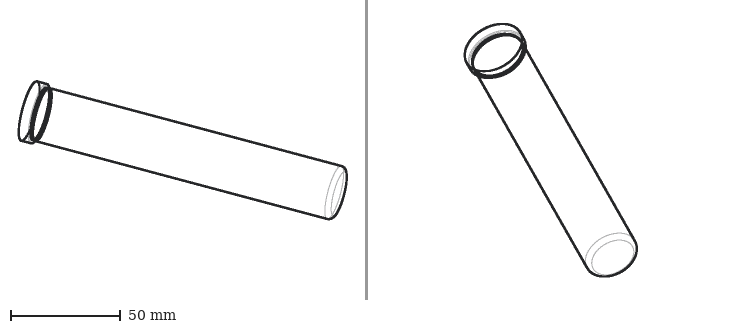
import cadquery as cq

total_length = 150.0
head_diameter = 28.0
head_thickness = 5.1
shank_diameter = 25.0

head_back_fillet = 0.5
tip_fillet = 2.2

groove_width = 1.4
groove_depth = 0.2
groove_runout = 0.5

head_radius = head_diameter / 2
shank_radius = shank_diameter / 2
groove_radius = shank_radius - groove_depth
groove_end = head_thickness + groove_width

profile = (
    cq.Workplane("XY")
    .lineTo(0, head_radius)
    .lineTo(head_thickness - head_back_fillet, head_radius)
    .tangentArcPoint((head_back_fillet, -head_back_fillet))
    .lineTo(head_thickness, groove_radius)
    .lineTo(groove_end - groove_runout, groove_radius)
    .lineTo(groove_end, shank_radius)
    .lineTo(total_length - tip_fillet, shank_radius)
    .tangentArcPoint((tip_fillet, -tip_fillet))
    .lineTo(total_length, 0)
    .close()
)

pin = profile.revolve(360, (0, 0, 0), (1, 0, 0))
result = pin.translate((-total_length / 2, 0, 0))